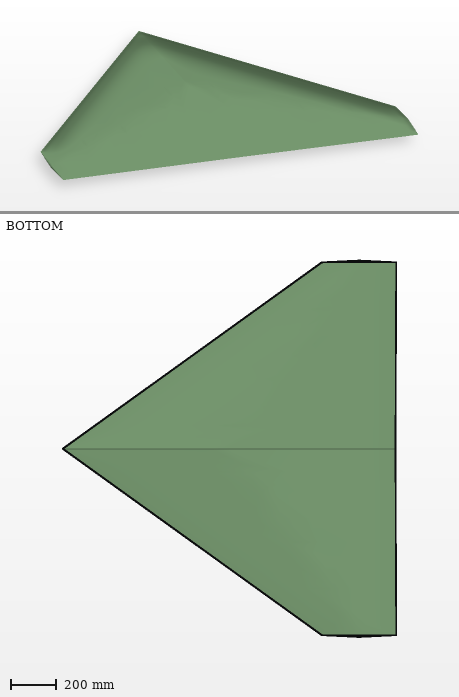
import cadquery as cq

span = 1653.0
root_chord = 1461.0
root_thickness = 73.0
tip_chord = 327.0
tip_trailing_edge = 1465.0

tip_thickness = root_thickness * tip_chord / root_chord
tip_leading_edge = tip_trailing_edge - tip_chord
tip_mid_chord = tip_trailing_edge - tip_chord / 2

cap_bulge = tip_thickness / 2
tip_station = span / 2 - cap_bulge


def section_side(leading_edge, trailing_edge, station, crest):
    """One edge running straight up to the mid-chord crest and straight down again."""
    middle = (leading_edge + trailing_edge) / 2
    points = [(leading_edge, station, 0), (middle, station, crest), (trailing_edge, station, 0)]
    return cq.Edge.makeSplineApprox([cq.Vector(*point) for point in points], minDeg=1, maxDeg=1)


def diamond(leading_edge, trailing_edge, station, thickness):
    """Closed diamond section made of one upper and one lower edge."""
    crests = (thickness / 2, -thickness / 2)
    sides = [section_side(leading_edge, trailing_edge, station, crest) for crest in crests]
    return cq.Wire.assembleEdges(sides)


def half_wing():
    """Panel on the -Y side, ruled straight from the root to the tip section."""
    root = diamond(0, root_chord, 0, root_thickness)
    tip = diamond(tip_leading_edge, tip_trailing_edge, -tip_station, tip_thickness)
    return cq.Workplane(cq.Solid.makeLoft([root, tip], True))


def tip_cap():
    """Outer half of the tip diamond spun about its chord line."""
    spindle = (
        cq.Workplane("XY")
        .moveTo(tip_leading_edge, 0)
        .lineTo(tip_mid_chord, cap_bulge)
        .lineTo(tip_trailing_edge, 0)
        .close()
        .revolve(360, (0, 0, 0), (1, 0, 0))
    )
    outer_half = (
        cq.Workplane("XY")
        .box(tip_trailing_edge, tip_thickness, tip_thickness, centered=(False, False, True))
        .translate((0, -tip_thickness, 0))
    )
    return spindle.intersect(outer_half).translate((0, -tip_station, 0))


near_side = half_wing().union(tip_cap())
result = near_side.union(near_side.mirror("XZ"))